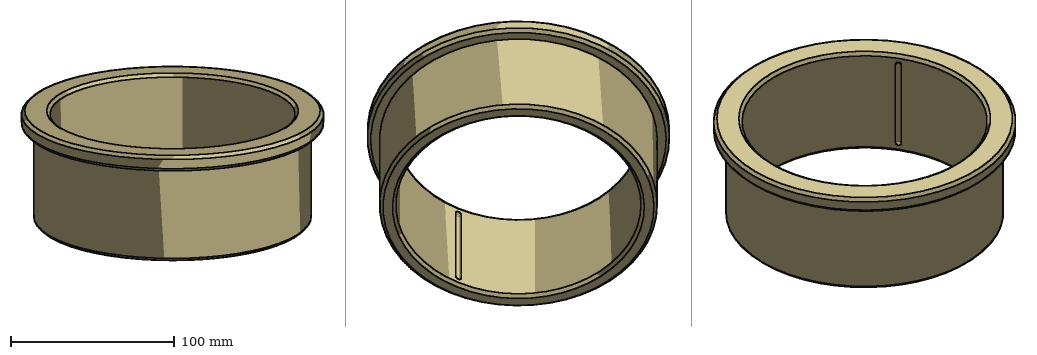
import cadquery as cq

flange_diameter = 185.0
sleeve_diameter = 170.0
bore_diameter = 150.0
height = 70.0
flange_thickness = 10.0
chamfer = 2.0

groove_radius = 1.8
groove_end_margin = 5.0


def flanged_body():
    """Sleeve with a flange on top, its outer edges chamfered."""
    sleeve = cq.Workplane("XY").circle(sleeve_diameter / 2).extrude(height)
    sleeve = sleeve.faces("<Z").edges().chamfer(chamfer)
    flange = (
        cq.Workplane("XY")
        .workplane(offset=height - flange_thickness)
        .circle(flange_diameter / 2)
        .extrude(flange_thickness)
        .edges()
        .chamfer(chamfer)
    )
    return sleeve.union(flange)


def cut_bore(body):
    """Through bore, chamfered at both mouths."""
    bored = body.cut(cq.Workplane("XY").circle(bore_diameter / 2).extrude(height))
    mouths = bored.edges(cq.selectors.RadiusNthSelector(0))
    return mouths.chamfer(chamfer)


def wall_groove():
    """Vertical rod with spherical ends, centred on the bore wall."""
    lower_centre = groove_end_margin + groove_radius
    upper_centre = height - lower_centre
    wall_line = cq.Workplane("XY").center(bore_diameter / 2, 0)
    rod = wall_line.workplane(offset=lower_centre).circle(groove_radius).extrude(upper_centre - lower_centre)
    for centre in (lower_centre, upper_centre):
        rod = rod.union(wall_line.workplane(offset=centre).sphere(groove_radius))
    return rod


result = cut_bore(flanged_body()).cut(wall_groove())